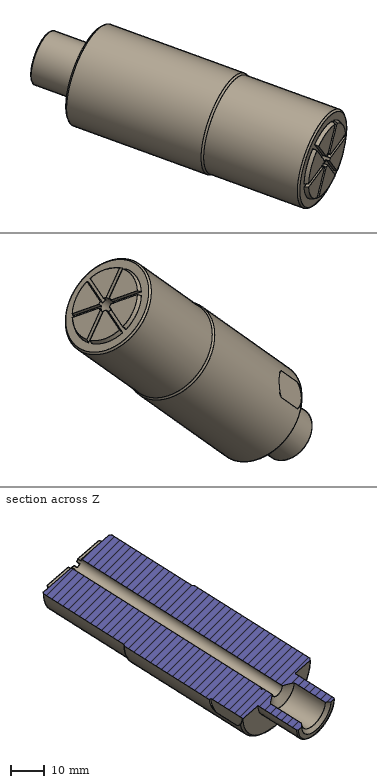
import cadquery as cq

total_length = 96.6
shoulder_x = 15.75
collar_end_x = 62.9
barrel_end_x = 95.4

nozzle_diameter = 17.5
body_diameter = 32.8
barrel_diameter = 31.9
plug_base_diameter = 25.3
plug_end_diameter = 24.2

nozzle_chamfer = 0.4
body_chamfer = 0.7
collar_chamfer_length = 0.7
barrel_chamfer = 0.6

mouth_diameter = 13.5
socket_diameter = 11.0
through_diameter = 4.5
mouth_depth = 1.2
socket_depth = 13.5
cone_length = 1.9

slot_count = 3
slot_width = 1.4
slot_spacing_angle = 180 / slot_count

spot_diameter = 12.6
spot_x = 22.2
spot_depth = 0.7


def revolve_about_axis(points):
    """Turn a closed outline of (x, radius) points about the X axis."""
    return cq.Workplane("XY").polyline(points).close().revolve(360, (0, 0, 0), (1, 0, 0))


def turned_body():
    """Nozzle, chamfered body, barrel and tapered end plug as one solid of revolution."""
    nozzle_radius = nozzle_diameter / 2
    body_radius = body_diameter / 2
    barrel_radius = barrel_diameter / 2
    return revolve_about_axis([
        (0, 0),
        (0, nozzle_radius - nozzle_chamfer),
        (nozzle_chamfer, nozzle_radius),
        (shoulder_x, nozzle_radius),
        (shoulder_x, body_radius - body_chamfer),
        (shoulder_x + body_chamfer, body_radius),
        (collar_end_x - collar_chamfer_length, body_radius),
        (collar_end_x, barrel_radius),
        (barrel_end_x - barrel_chamfer, barrel_radius),
        (barrel_end_x, barrel_radius - barrel_chamfer),
        (barrel_end_x, plug_base_diameter / 2),
        (total_length, plug_end_diameter / 2),
        (total_length, 0),
    ])


def axial_bore():
    """Cutter for the stepped bore."""
    cone_end_x = socket_depth + cone_length
    return revolve_about_axis([
        (0, 0),
        (0, mouth_diameter / 2),
        (mouth_depth, socket_diameter / 2),
        (socket_depth, socket_diameter / 2),
        (cone_end_x, through_diameter / 2),
        (total_length, through_diameter / 2),
        (total_length, 0),
    ])


def plug_slots():
    """Cutter for the evenly spaced slots running right across the plug."""
    slot_depth = total_length - barrel_end_x
    slot = cq.Workplane("XY").box(slot_depth, body_diameter, slot_width)
    slot = slot.translate((total_length - slot_depth / 2, 0, 0))
    slots = cq.Workplane("XY")
    for index in range(slot_count):
        slots = slots.add(slot.rotate((0, 0, 0), (1, 0, 0), index * slot_spacing_angle))
    return slots.combine()


def spot_face():
    """Cutter for the shallow round flat on the +Y side."""
    floor_y = body_diameter / 2 - spot_depth
    return (
        cq.Workplane("XZ", origin=(spot_x, floor_y, 0))
        .circle(spot_diameter / 2)
        .extrude(-body_diameter)
    )


result = turned_body().cut(axial_bore()).cut(plug_slots()).cut(spot_face())